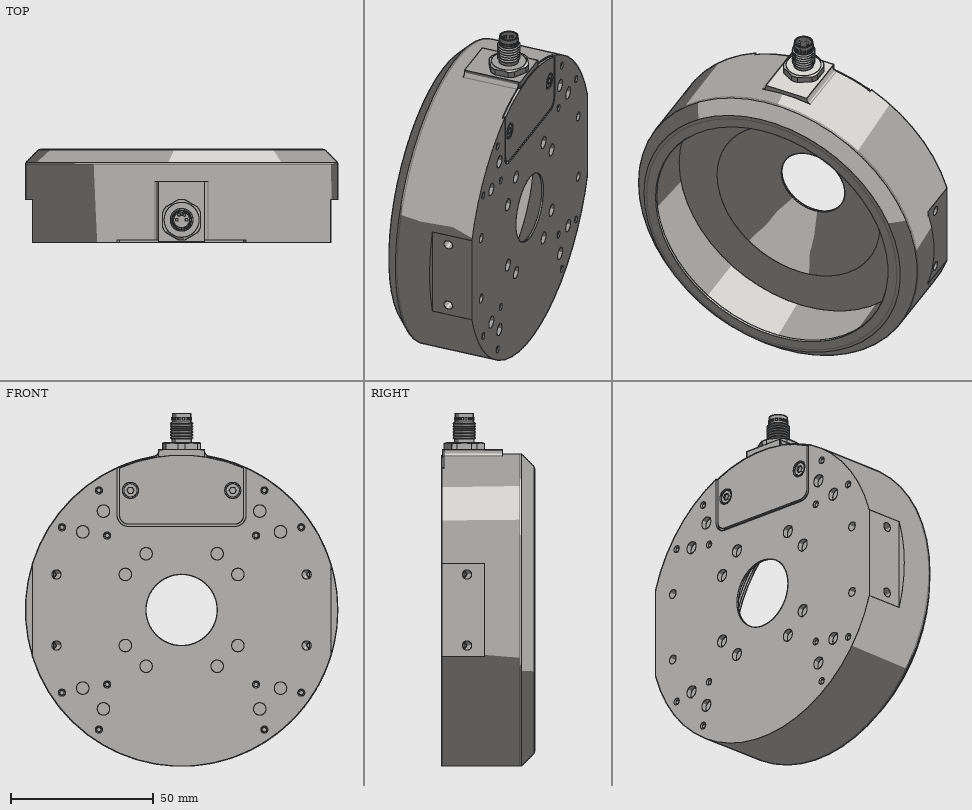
import cadquery as cq
import math

BODY_RADIUS = 55.0
BODY_DEPTH = 32.9
BORE_DIAMETER = 25.0
BORE_LIP = 0.7
BORE_FLARE_ANGLE = 60.0
FLOOR_THICKNESS = 12.0
CAVITY_RADIUS = 47.0
REAR_LIP_RADIUS = 45.8
REAR_LIP_THICKNESS = 1.0
RIM_DEPTH = 27.5
RIM_STEP_RADIUS = 54.9
RIM_STEP_DEPTH = 28.2
BEVEL_END_DEPTH = 32.6
REAR_RADIUS = 49.3

FLAT_DISTANCE = 52.5
FLAT_DEPTH = 15.1
TAPPED_DIAMETER = 3.24
FACE_HOLE_DEPTH = 8.0
SIDE_HOLE_DEPTH = 7.5
DRILL_POINT_ANGLE = 59.0
TAPPED_Z = 12.5
SIDE_HOLE_Y = 9.0
FACE_HOLE_X = 44.0

PIN_HOLE_DIAMETER = 4.4
PIN_HOLE_DEPTH = 2.0
PIN_HOLE_PLACES = [(12.5, 19.8), (19.8, 12.5), (27.5, 34.8), (34.8, 27.5)]
SCREW_HOLE_DIAMETER = 1.57
SCREW_HOLE_MOUTH = 2.5
SCREW_HOLE_DEPTH = 6.0
SCREW_HOLE_PLACES = [(42.1, 29.1), (29.1, 42.1), (26.2, 26.2)]

POCKET_HALF_WIDTH = 22.7
POCKET_BOTTOM_Z = 29.4
POCKET_CORNER = 4.0
COVER_THICKNESS = 0.95
COVER_GAP = 0.85
COVER_RADIUS = 54.5
COVER_SCREW_X = 18.0
COVER_SCREW_Z = 42.1
COUNTERBORE_DIAMETER = 5.7
COUNTERBORE_DEPTH = 0.9
SCREW_HEAD_DIAMETER = 4.7
SCREW_HEAD_HEIGHT = 0.7
SOCKET_WIDTH = 2.5
SOCKET_DEPTH = 0.6

PAD_HALF_WIDTH = 8.05
PAD_TOP_Z = 56.4
PAD_DEPTH = 21.5
PAD_FILLET = 2.0
PAD_ROOT_Z = 50.0
PAD_SETBACK = 0.3

CONNECTOR_Y = 8.0
CONNECTOR_TOP_Z = 124.19 - BODY_RADIUS
NUT_FLATS = 13.4
NUT_CORNERS = 14.3
NUT_HEIGHT = 2.5
NUT_CHAMFER_HEIGHT = 0.35
NUT_CHAMFER_WIDTH = 1.0
BARREL_DIAMETER = 6.9
THREAD_DIAMETER = 8.0
TIP_DIAMETER = 6.5
THREAD_START_Z = 60.1
THREAD_PITCH = 1.0
THREAD_TURNS = 6
KNURL_DIAMETER = 7.0
KNURL_BOTTOM_Z = 66.9
KNURL_HEIGHT = 0.8
KNURL_TEETH = 16
KNURL_NOTCH = 0.6
SOCKET_BORE = 5.6
SOCKET_BORE_DEPTH = 5.0
CONTACT_DIAMETER = 1.0
CONTACT_PLACES = [(1.7, 0.0), (-1.7, 0.0), (0.95, 1.75), (-0.95, 1.75)]
CONTACT_LENGTH = 4.0
KEY_WIDTH = 0.5
KEY_TIP_RADIUS = 1.5


def front_cylinder(x, z, diameter, start_y, length):
    """Cylinder along +Y starting at start_y."""
    return cq.Workplane("XZ", origin=(x, start_y, z)).circle(diameter / 2).extrude(-length)


def upright_cylinder(x, y, z, diameter, length):
    """Cylinder along +Z starting at z."""
    return cq.Workplane("XY", origin=(x, y, z)).circle(diameter / 2).extrude(length)


def drilled_hole(depth):
    """Tapped-hole core along +Z from the origin, ending in a drill point."""
    radius = TAPPED_DIAMETER / 2
    tip = depth + radius / math.tan(math.radians(DRILL_POINT_ANGLE))
    profile = [(0, 0), (radius, 0), (radius, depth), (0, tip)]
    return cq.Workplane("XZ").polyline(profile).close().revolve(360, (0, 0, 0), (0, 1, 0))


def all_quadrants(places):
    return [(sx * x, sz * z) for x, z in places for sx in (1, -1) for sz in (1, -1)]


def make_housing():
    bore_radius = BORE_DIAMETER / 2
    bevel_end_radius = RIM_STEP_RADIUS - (BEVEL_END_DEPTH - RIM_STEP_DEPTH)
    flare_radius = bore_radius + (FLOOR_THICKNESS - BORE_LIP) * math.tan(math.radians(BORE_FLARE_ANGLE))
    profile = [
        (bore_radius, 0),
        (BODY_RADIUS, 0),
        (BODY_RADIUS, RIM_DEPTH),
        (RIM_STEP_RADIUS, RIM_STEP_DEPTH),
        (bevel_end_radius, BEVEL_END_DEPTH),
        (REAR_RADIUS, BODY_DEPTH),
        (REAR_LIP_RADIUS, BODY_DEPTH),
        (REAR_LIP_RADIUS, BODY_DEPTH - REAR_LIP_THICKNESS),
        (CAVITY_RADIUS, BODY_DEPTH - REAR_LIP_THICKNESS),
        (CAVITY_RADIUS, FLOOR_THICKNESS),
        (flare_radius, FLOOR_THICKNESS),
        (bore_radius, BORE_LIP),
    ]
    drum = cq.Workplane("XY").polyline(profile).close().revolve(360, (0, 0, 0), (0, 1, 0))
    for side in (1, -1):
        cutter = cq.Workplane("XY").box(
            BODY_RADIUS, FLAT_DEPTH, 2 * BODY_RADIUS, centered=(True, False, True)
        )
        drum = drum.cut(cutter.translate((side * (FLAT_DISTANCE + BODY_RADIUS / 2), 0, 0)))
    return drum


def make_pad():
    """Flat-topped block whose sides meet the drum through quarter-round concave fillets."""
    foot_x = PAD_HALF_WIDTH + PAD_FILLET
    foot_z = math.sqrt(BODY_RADIUS**2 - foot_x**2)
    wall_end_z = foot_z + PAD_FILLET
    middle_x = foot_x - PAD_FILLET * math.cos(math.pi / 4)
    middle_z = wall_end_z - PAD_FILLET * math.sin(math.pi / 4)
    return (
        cq.Workplane("XZ", origin=(0, COVER_THICKNESS, 0))
        .moveTo(-PAD_HALF_WIDTH, PAD_TOP_Z)
        .lineTo(PAD_HALF_WIDTH, PAD_TOP_Z)
        .lineTo(PAD_HALF_WIDTH, wall_end_z)
        .threePointArc((middle_x, middle_z), (foot_x, foot_z))
        .lineTo(foot_x, PAD_ROOT_Z)
        .lineTo(-foot_x, PAD_ROOT_Z)
        .lineTo(-foot_x, foot_z)
        .threePointArc((-middle_x, middle_z), (-PAD_HALF_WIDTH, wall_end_z))
        .close()
        .extrude(COVER_THICKNESS - PAD_DEPTH)
    )


def cover_outline(offset, outer_radius, length):
    """Plate with rounded lower corners, limited outside by a circle."""
    half_width = POCKET_HALF_WIDTH - offset
    bottom = POCKET_BOTTOM_Z + offset
    height = 2 * (BODY_RADIUS - bottom)
    block = (
        cq.Workplane("XY")
        .box(2 * half_width, length, height, centered=(True, False, False))
        .edges("|Y and <Z")
        .fillet(POCKET_CORNER - offset)
        .translate((0, 0, bottom))
    )
    return block.intersect(front_cylinder(0, 0, 2 * outer_radius, 0, length))


def fit_cover(body):
    body = body.cut(cover_outline(0, BODY_RADIUS + 1, COVER_THICKNESS))
    body = body.union(cover_outline(COVER_GAP, COVER_RADIUS, COVER_THICKNESS))
    tongue = cq.Workplane("XY").box(
        2 * PAD_HALF_WIDTH, COVER_THICKNESS - PAD_SETBACK, PAD_TOP_Z - PAD_ROOT_Z,
        centered=(True, False, False),
    )
    body = body.union(tongue.translate((0, PAD_SETBACK, PAD_ROOT_Z)))
    for x in (COVER_SCREW_X, -COVER_SCREW_X):
        body = body.cut(front_cylinder(x, COVER_SCREW_Z, COUNTERBORE_DIAMETER, 0, COUNTERBORE_DEPTH))
        head_y = COUNTERBORE_DEPTH - SCREW_HEAD_HEIGHT
        head = front_cylinder(x, COVER_SCREW_Z, SCREW_HEAD_DIAMETER, head_y, SCREW_HEAD_HEIGHT)
        socket = (
            cq.Workplane("XZ", origin=(x, head_y, COVER_SCREW_Z))
            .polygon(6, SOCKET_WIDTH)
            .extrude(-SOCKET_DEPTH)
        )
        body = body.union(head).cut(socket)
    return body


def cut_face_holes(body):
    for x, z in all_quadrants(PIN_HOLE_PLACES):
        body = body.cut(front_cylinder(x, z, PIN_HOLE_DIAMETER, 0, PIN_HOLE_DEPTH))
    face_hole = drilled_hole(FACE_HOLE_DEPTH).rotate((0, 0, 0), (1, 0, 0), -90)
    for x, z in all_quadrants([(FACE_HOLE_X, TAPPED_Z)]):
        body = body.cut(face_hole.translate((x, 0, z)))
    countersink_depth = (SCREW_HOLE_MOUTH - SCREW_HOLE_DIAMETER) / 2
    for x, z in all_quadrants(SCREW_HOLE_PLACES):
        hole = front_cylinder(x, z, SCREW_HOLE_DIAMETER, 0, SCREW_HOLE_DEPTH)
        mouth = front_cylinder(x, z, SCREW_HOLE_MOUTH, 0, countersink_depth * 1.001)
        mouth = mouth.faces(">Y").chamfer(countersink_depth)
        body = body.cut(hole).cut(mouth)
    return body


def cut_side_holes(body):
    for side in (1, -1):
        side_hole = drilled_hole(SIDE_HOLE_DEPTH).rotate((0, 0, 0), (0, 1, 0), -90 * side)
        for z in (TAPPED_Z, -TAPPED_Z):
            body = body.cut(side_hole.translate((side * FLAT_DISTANCE, SIDE_HOLE_Y, z)))
    return body


def make_nut():
    corner_diameter = NUT_FLATS / math.cos(math.pi / 6)
    hexagon = (
        cq.Workplane("XY", origin=(0, CONNECTOR_Y, PAD_TOP_Z))
        .transformed(rotate=(0, 0, 30))
        .polygon(6, corner_diameter)
        .extrude(NUT_HEIGHT)
    )
    turned = upright_cylinder(0, CONNECTOR_Y, PAD_TOP_Z, NUT_CORNERS, NUT_HEIGHT)
    return hexagon.intersect(turned.faces(">Z").chamfer(NUT_CHAMFER_HEIGHT, NUT_CHAMFER_WIDTH))


def make_threaded_barrel():
    """Turned barrel with a ring-groove thread."""
    root = BARREL_DIAMETER / 2
    crest = THREAD_DIAMETER / 2
    thread_end_z = THREAD_START_Z + THREAD_PITCH * THREAD_TURNS
    outline = cq.Workplane("XZ").moveTo(0, PAD_TOP_Z).lineTo(root, PAD_TOP_Z)
    outline = outline.lineTo(root, THREAD_START_Z)
    for turn in range(THREAD_TURNS):
        base_z = THREAD_START_Z + turn * THREAD_PITCH
        outline = outline.lineTo(crest, base_z + THREAD_PITCH / 2).lineTo(root, base_z + THREAD_PITCH)
    outline = outline.lineTo(TIP_DIAMETER / 2, thread_end_z)
    outline = outline.lineTo(TIP_DIAMETER / 2, CONNECTOR_TOP_Z).lineTo(0, CONNECTOR_TOP_Z).close()
    return outline.revolve(360, (0, 0, 0), (0, 1, 0)).translate((0, CONNECTOR_Y, 0))


def make_knurl():
    ring = upright_cylinder(0, CONNECTOR_Y, KNURL_BOTTOM_Z, KNURL_DIAMETER, KNURL_HEIGHT)
    notches = (
        cq.Workplane("XY", origin=(0, CONNECTOR_Y, KNURL_BOTTOM_Z))
        .polarArray(KNURL_DIAMETER / 2, 0, 360, KNURL_TEETH)
        .rect(KNURL_NOTCH, KNURL_NOTCH)
        .extrude(KNURL_HEIGHT)
    )
    return ring.cut(notches)


def make_connector():
    connector = make_nut().union(make_threaded_barrel()).union(make_knurl())
    floor_z = CONNECTOR_TOP_Z - SOCKET_BORE_DEPTH
    connector = connector.cut(upright_cylinder(0, CONNECTOR_Y, floor_z, SOCKET_BORE, SOCKET_BORE_DEPTH))
    for x, y in CONTACT_PLACES:
        contact = upright_cylinder(x, CONNECTOR_Y + y, floor_z, CONTACT_DIAMETER, CONTACT_LENGTH)
        connector = connector.union(contact)
    key = cq.Workplane("XY", origin=(0, CONNECTOR_Y + KEY_TIP_RADIUS, floor_z)).box(
        KEY_WIDTH, TIP_DIAMETER / 2 - KEY_TIP_RADIUS, CONTACT_LENGTH, centered=(True, False, False)
    )
    key = key.intersect(upright_cylinder(0, CONNECTOR_Y, floor_z, TIP_DIAMETER, CONTACT_LENGTH))
    connector = connector.union(key)
    return connector


body = make_housing().union(make_pad())
body = fit_cover(body)
body = cut_face_holes(body)
body = cut_side_holes(body)
result = body.union(make_connector())